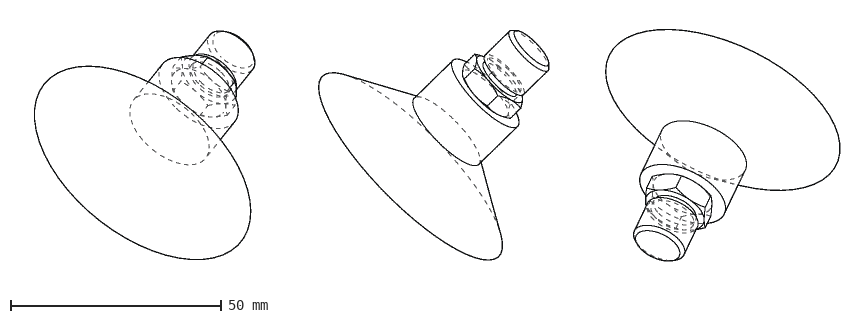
import cadquery as cq
import math

total_length = 42.0
lip_diameter = 60.0
body_diameter = 22.0
hex_across_flats = 15.0
neck_diameter = 11.0
thread_diameter = 13.15
thread_chamfer = 0.9

cone_end = 12.5
body_end = 26.0
hex_end = 30.95
neck_end = 32.5

hex_corner_diameter = hex_across_flats / math.cos(math.radians(30))
hex_chamfer_angle = 30.0


def cylinder_along_y(diameter, start, end):
    """Solid cylinder on the Y axis from y = start to y = end."""
    return (
        cq.Workplane("XZ", origin=(0, start, 0))
        .circle(diameter / 2)
        .extrude(start - end)
    )


def make_cup():
    """Conical skirt with a sharp lip and cylindrical body."""
    return (
        cq.Workplane("XY")
        .moveTo(0, 0)
        .lineTo(lip_diameter / 2, 0)
        .lineTo(body_diameter / 2, cone_end)
        .lineTo(body_diameter / 2, body_end)
        .lineTo(0, body_end)
        .close()
        .revolve(360, (0, 0, 0), (0, 1, 0))
    )


def make_hex():
    """Hexagon with flats facing +X and -X, its corners chamfered at both ends."""
    prism = (
        cq.Workplane("XZ", origin=(0, body_end, 0))
        .transformed(rotate=(0, 0, 90))
        .polygon(6, hex_corner_diameter)
        .extrude(body_end - hex_end)
    )
    radial_depth = (hex_corner_diameter - hex_across_flats) / 2
    axial_depth = radial_depth * math.tan(math.radians(hex_chamfer_angle))
    envelope = (
        cylinder_along_y(hex_corner_diameter, body_end, hex_end)
        .faces("<Y or >Y")
        .chamfer(axial_depth, radial_depth)
    )
    return prism.intersect(envelope)


def make_thread():
    """Plain threaded stud with a chamfered free end."""
    stud = cylinder_along_y(thread_diameter, neck_end, total_length)
    return stud.faces(">Y").chamfer(thread_chamfer)


neck = cylinder_along_y(neck_diameter, hex_end, neck_end)
result = make_cup().union(make_hex()).union(neck).union(make_thread())